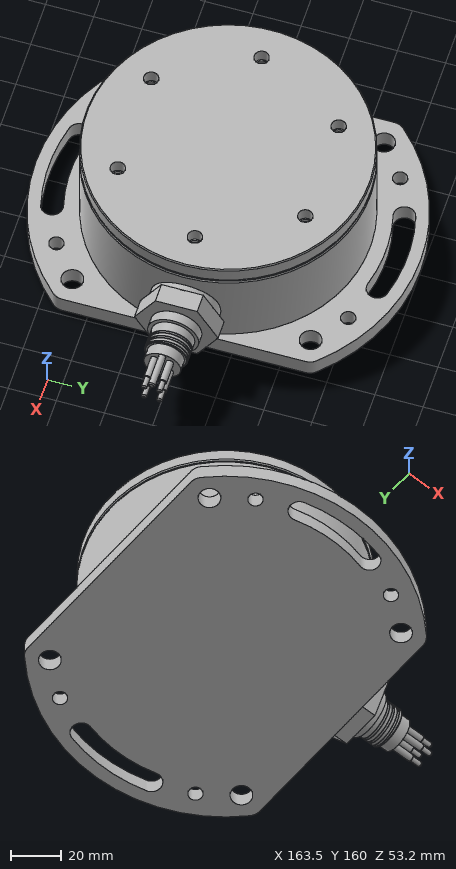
import cadquery as cq
import math

overall_length = 163.5

flange_width = 119.9
flange_radius = 80.0
flange_thickness = 8.0
flange_corner_radius = 6.0
bolt_circle_radius = 70.0
large_hole_diameter = 9.0
large_hole_angle = 45
small_hole_diameter = 6.0
small_hole_angle = 60
slot_width = large_hole_diameter
slot_half_angle = 15

drum_radius = 59.0
drum_top = 44.6
edge_chamfer = 0.5
neck_inset = 2.5
neck_radius = drum_radius - neck_inset
neck_height = 1.0

rotor_bottom = drum_top + neck_height
rotor_top = 53.2
rotor_hole_count = 6
rotor_hole_circle_radius = 45.0
rotor_hole_diameter = 4.9
rotor_counterbore_diameter = small_hole_diameter
rotor_counterbore_depth = 6.0

connector_height = 24.4
shoulder_radius = 14.5
hex_across_flats = 30.1
hex_start = 61.8
hex_end = 70.0
collar_radius = 10.6
collar_end = 74.3
thread_radius = 9.0
thread_end = 84.0
nose_radius = 7.7
nose_end = 89.0

groove_pitch = 2.5
groove_width = 1.0
groove_depth = 0.3
groove_start = 76.9
groove_overrun = 0.3
groove_start_angle = 20

pin_spacing = 6.4
pin_radius = 1.55
pin_step = 98.8
pin_tip_radius = 1.1
pin_end = overall_length - flange_width / 2
pin_chamfer = 0.5
pin_step_chamfer = pin_chamfer / 2
key_pin_offset = 6.0
key_pin_radius = 1.5


def polar_point(radius, angle):
    """Point at a radius and an angle in degrees."""
    return radius * math.cos(math.radians(angle)), radius * math.sin(math.radians(angle))


def mirrored_points(radius, angle):
    """The four points found by mirroring a polar point in the X and Y axes."""
    x, y = polar_point(radius, angle)
    return [(sx * x, sy * y) for sx in (-1, 1) for sy in (-1, 1)]


def make_curved_slot(middle_angle):
    """Cutter for an arc slot that follows the bolt circle."""
    inner = bolt_circle_radius - slot_width / 2
    outer = bolt_circle_radius + slot_width / 2
    first = middle_angle - slot_half_angle
    last = middle_angle + slot_half_angle
    first_tip_angle = first - math.degrees(slot_width / 2 / bolt_circle_radius)
    last_tip_angle = last + math.degrees(slot_width / 2 / bolt_circle_radius)
    return (
        cq.Workplane("XY")
        .moveTo(*polar_point(outer, first))
        .threePointArc(polar_point(outer, middle_angle), polar_point(outer, last))
        .threePointArc(polar_point(bolt_circle_radius, last_tip_angle), polar_point(inner, last))
        .threePointArc(polar_point(inner, middle_angle), polar_point(inner, first))
        .threePointArc(polar_point(bolt_circle_radius, first_tip_angle), polar_point(outer, first))
        .close()
        .extrude(flange_thickness)
    )


def make_flange():
    """Disc with two flat sides, rounded corners, bolt holes and arc slots."""
    sides = cq.Workplane("XY").rect(flange_width, 2 * flange_radius).extrude(flange_thickness)
    flange = cq.Workplane("XY").circle(flange_radius).extrude(flange_thickness).intersect(sides)
    flange = flange.edges("|Z").fillet(flange_corner_radius)
    for diameter, angle in (
        (large_hole_diameter, large_hole_angle),
        (small_hole_diameter, small_hole_angle),
    ):
        holes = mirrored_points(bolt_circle_radius, angle)
        flange = flange.cut(
            cq.Workplane("XY").pushPoints(holes).circle(diameter / 2).extrude(flange_thickness)
        )
    for middle_angle in (90, 270):
        flange = flange.cut(make_curved_slot(middle_angle))
    return flange


def make_housing():
    """Flange, drum and the narrow neck that carries the rotor."""
    drum = cq.Workplane("XY").circle(drum_radius).extrude(drum_top).faces(">Z").chamfer(edge_chamfer)
    neck = cq.Workplane("XY").workplane(offset=drum_top).circle(neck_radius).extrude(neck_height)
    return make_flange().union(drum).union(neck)


def make_rotor():
    """Plate with both rims chamfered and a ring of counterbored through holes."""
    plate = (
        cq.Workplane("XY")
        .workplane(offset=rotor_bottom)
        .circle(drum_radius)
        .extrude(rotor_top - rotor_bottom)
        .faces("<Z or >Z")
        .chamfer(edge_chamfer)
    )
    return (
        plate.faces(">Z")
        .workplane()
        .polarArray(rotor_hole_circle_radius, 0, 360, rotor_hole_count)
        .cboreHole(rotor_hole_diameter, rotor_counterbore_diameter, rotor_counterbore_depth)
    )


def make_rod(start, end, radius, y=0, z=0):
    """Cylinder along X, placed relative to the connector axis."""
    plane = cq.Plane(origin=(start, y, connector_height + z), xDir=(0, 1, 0), normal=(1, 0, 0))
    return cq.Workplane(plane).circle(radius).extrude(end - start)


def make_hexagon():
    """Hexagon with flats facing up and down and two corners along Y."""
    corner_diameter = hex_across_flats / math.cos(math.radians(30))
    plane = cq.Plane(origin=(hex_start, 0, connector_height), xDir=(0, 1, 0), normal=(1, 0, 0))
    return cq.Workplane(plane).polygon(6, corner_diameter).extrude(hex_end - hex_start)


def make_thread_groove():
    """Right-hand helical groove cutter that starts just above -Y and runs out past the thread end."""
    length = thread_end + groove_overrun - groove_start
    path = cq.Wire.makeHelix(groove_pitch, length, thread_radius)
    groove = (
        cq.Workplane("XZ")
        .center(thread_radius, 0)
        .rect(2 * groove_depth, groove_width)
        .sweep(cq.Workplane(obj=path), isFrenet=True)
    )
    return (
        groove.rotate((0, 0, 0), (0, 0, 1), -90 - groove_start_angle)
        .rotate((0, 0, 0), (0, 1, 0), 90)
        .translate((groove_start, 0, connector_height))
    )


def make_stepped_pin(y, z):
    """Pin with a thinner tip."""
    base = make_rod(nose_end, pin_step, pin_radius, y, z).faces(">X").chamfer(pin_step_chamfer)
    tip = make_rod(nose_end, pin_end, pin_tip_radius, y, z).faces(">X").chamfer(pin_chamfer)
    return base.union(tip)


def make_connector():
    """Shoulder shaped to the drum wall, hexagon, collar, thread, nose and pins in one solid."""
    drum_wall = cq.Workplane("XY").circle(drum_radius).extrude(drum_top)
    body = make_rod(drum_radius - shoulder_radius, hex_start, shoulder_radius).cut(drum_wall)
    body = body.union(make_hexagon())
    body = body.union(make_rod(hex_end, collar_end, collar_radius))
    thread = make_rod(collar_end, thread_end, thread_radius).faces(">X").chamfer(edge_chamfer)
    body = body.union(thread.cut(make_thread_groove()))
    body = body.union(make_rod(thread_end, nose_end, nose_radius))
    for y in (-pin_spacing / 2, pin_spacing / 2):
        for z in (-pin_spacing / 2, pin_spacing / 2):
            body = body.union(make_stepped_pin(y, z))
    key_pin = make_rod(nose_end, pin_end, key_pin_radius, z=key_pin_offset)
    return body.union(key_pin.faces(">X").chamfer(pin_chamfer))


housing = make_housing()
rotor = make_rotor()
connector = make_connector()

result = cq.Compound.makeCompound([housing.solids().val(), rotor.solids().val(), connector.solids().val()])